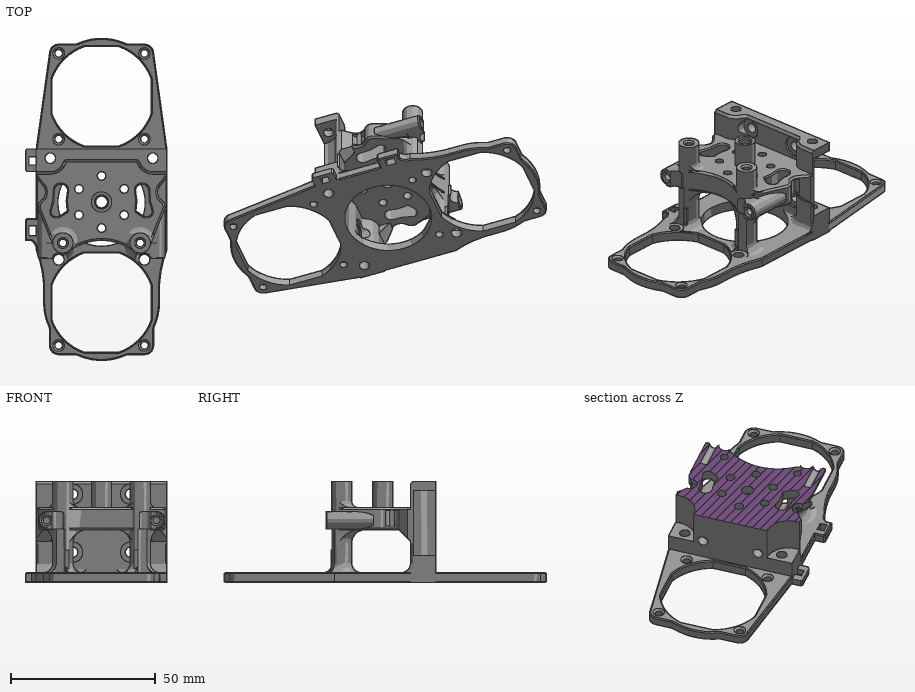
import cadquery as cq
import math

HEIGHT = 35.0
HALF_WIDTH = 22.6
PLATE_TOP = 3.5
PLATE_CHAMFER = 0.39

FAN_SPACING = 71.3
FAN_TOP_Y = 36.4
FAN_BOTTOM_Y = FAN_TOP_Y - FAN_SPACING
FAN_RIM = 20.0
FRAME_HALF = 18.0
FRAME_CORNER = 3.3
FRAME_BLEND = 2.2
OPENING_RADIUS = 18.2
OPENING_HALF = 17.2
SCREW_OFFSET = 14.8
WAIST_Y = -16.7
WAIST_END = (FAN_RIM, -32.3)
WAIST_MID = (20.5, -24.5)

CENTER_OPENING_Y = -0.3
CENTER_OPENING_RADIUS = 15.0

WALL_BACK = 18.3
WALL_FRONT = 13.7
WALL_CHAMFER = 0.9
LUG_X, LUG_Y = 17.7, 15.0
LUG_RADIUS = 5.6
LUG_HOLE = 3.6
LUG_BLEND = 0.9
PAD_FRONT = LUG_Y - LUG_RADIUS
RECESS_RADIUS = 7.8
RECESS_AXIS_X = 21.2
RECESS_BOTTOM, RECESS_TOP = 9.4, 31.7
PAD_EDGE_CHAMFER = 0.6
PAD_EDGE_TOP = 13.4
WALL_FILLET = 1.1
BASE_FLARE = 3.2

WALL_SCREW_X = 10.0
WALL_SCREW_LEVELS = (10.5, 30.5)
WALL_SCREW_HOLE, WALL_SCREW_HEAD = 3.6, 7.0
WALL_SCREW_SEAT_Y = 14.5

SHELF_BOTTOM, SHELF_TOP = 18.2, 26.0
SHELF_THICKNESS = SHELF_TOP - SHELF_BOTTOM
SHELF_CHAMFER = 0.7
GUSSET = 3.9
GUSSET_INNER_X = 17.3

BOSS_RADIUS = 3.51
BOSS_HOLE, BOSS_HOLE_MOUTH = 4.0, 4.9
POST_X, POST_Y = 13.4, -14.3
POST_HOLE, POST_HOLE_MOUTH = 2.6, 3.8
UPPER_FLARE, LOWER_FLARE = 2.1, 4.5

BOSS_Y = -0.1
SHELF_HOLE, SHELF_HOLE_CIRCLE = 2.9, 9.0
SLOT_REAR_ROUND, SLOT_FRONT_ROUND, SLOT_CHAMFER = 2.1, 1.7, 0.5

TUBE_X, TUBE_Z, TUBE_RADIUS = 18.9, 21.5, 3.0
TUBE_FRONT, TUBE_BACK = -19.7, -3.2
WEB_INNER_X, WEB_ROUND = 13.0, 1.0
TUBE_END_CHAMFER = 0.5
TUBE_HOLE, TUBE_HOLE_MOUTH, TUBE_HOLE_DEPTH = 2.5, 3.8, 11.1

FAN_HOLE, FAN_HOLE_MOUTH = 2.6, 4.0
INNER_FAN_HOLE = 3.7
DRIVER_Y = FAN_BOTTOM_Y + SCREW_OFFSET
DRIVER_RADIUS = 3.2
WEB_NOTCH_RADIUS = 2.3

TAB_OUTER_X = -26.3
TAB_CORNER = 0.6
UPPER_TAB_Y = (10.4, WALL_BACK)
UPPER_TAB_TOP = 2.3
LOWER_TAB_Y = (-13.5, -5.8)
TAB_SLOT_X = (-25.1, -22.6)
TAB_SLOTS_Y = ((12.7, 15.5), (-11.7, -8.4))

TIE_X, TIE_Y = 19.9, 3.1
TIE_INNER, TIE_OUTER = 1.0, 2.3
TIE_BOTTOM, TIE_TOP = 19.5, 24.8

KEY_X, KEY_Y, KEY_Z = (11.3, 12.6), (-17.9, -14.5), (PLATE_TOP, 11.3)


def box(x_range, y_range, z_range):
    """Box between the given limits."""
    size = [high - low for low, high in (x_range, y_range, z_range)]
    corner = (x_range[0], y_range[0], z_range[0])
    return cq.Workplane("XY").box(*size, centered=False).translate(corner)


def cylinder(x, y, radius, bottom, top):
    """Vertical cylinder."""
    return cq.Workplane("XY", origin=(x, y, bottom)).circle(radius).extrude(top - bottom)


def flared_hole(x, y, top, hole, mouth):
    """Vertical through hole from top down to the plate underside, with a 45 degree mouth."""
    depth = (mouth - hole) / 2
    bevel = (
        cq.Workplane("XY", origin=(x, y, top)).circle(mouth / 2)
        .workplane(offset=-depth).circle(hole / 2).loft()
    )
    return cylinder(x, y, hole / 2, 0, top).union(bevel)


def flare(x, y, radius, fillet, level, direction):
    """Concave foot ring round a vertical cylinder; direction +1 rises from level, -1 hangs."""
    end = level + direction * fillet
    bend = fillet * (1 - math.sqrt(0.5))
    profile = (
        cq.Workplane("XZ")
        .moveTo(0, level)
        .lineTo(radius + fillet, level)
        .threePointArc((radius + bend, level + direction * bend), (radius, end))
        .lineTo(0, end)
        .close()
    )
    return profile.revolve(360, (0, 0, 0), (0, 1, 0)).translate((x, y, 0))


def both_sides(shape):
    """The shape together with its mirror image across X = 0."""
    return shape.union(shape.mirror("YZ"))


def rim_x(distance):
    """Half chord of the fan rim at a distance from its centre."""
    return math.sqrt(FAN_RIM**2 - distance**2)


def plate_half():
    """Right half of the plate outline, extruded."""
    straight = FRAME_HALF - FRAME_CORNER
    bend = straight + FRAME_CORNER * math.sqrt(0.5)
    rim_end = rim_x(FRAME_HALF)
    far, near = FAN_TOP_Y, FAN_BOTTOM_Y
    return (
        cq.Workplane("XY")
        .moveTo(0, far + FAN_RIM)
        .threePointArc((rim_end / 2, far + rim_x(rim_end / 2)), (rim_end, far + FRAME_HALF))
        .lineTo(straight, far + FRAME_HALF)
        .threePointArc((bend, far + bend), (FRAME_HALF, far + straight))
        .lineTo(HALF_WIDTH, WALL_BACK)
        .lineTo(HALF_WIDTH, WAIST_Y)
        .threePointArc(WAIST_MID, WAIST_END)
        .lineTo(FAN_RIM, near)
        .threePointArc((rim_x(rim_end / 2), near - rim_end / 2), (FRAME_HALF, near - rim_end))
        .lineTo(FRAME_HALF, near - straight)
        .threePointArc((bend, near - bend), (straight, near - FRAME_HALF))
        .lineTo(rim_end, near - FRAME_HALF)
        .threePointArc((rim_end / 2, near - rim_x(rim_end / 2)), (0, near - FAN_RIM))
        .close()
        .extrude(PLATE_TOP)
    )


def lower_tab():
    """Cable tab with a swept root."""
    low, high = LOWER_TAB_Y
    root = (-HALF_WIDTH, low - 2.7)
    return (
        cq.Workplane("XY")
        .moveTo(-HALF_WIDTH + 1.1, high)
        .lineTo(TAB_OUTER_X + TAB_CORNER, high)
        .lineTo(TAB_OUTER_X, high - TAB_CORNER)
        .lineTo(TAB_OUTER_X, low)
        .lineTo(-24.3, low)
        .threePointArc((-23.3, low - 0.9), root)
        .lineTo(-HALF_WIDTH + 1.1, root[1])
        .close()
        .extrude(PLATE_TOP)
    )


def base_plate():
    """Plate with blended fan frames, bevelled rims and two cable tabs."""
    plate = both_sides(plate_half()).clean()
    rim_end = rim_x(FRAME_HALF)
    notches = [(x, y) for x in (-rim_end, rim_end)
               for y in (FAN_TOP_Y + FRAME_HALF, FAN_BOTTOM_Y - FRAME_HALF)]
    notches += [(x, FAN_BOTTOM_Y - rim_end) for x in (-FRAME_HALF, FRAME_HALF)]
    for x, y in notches:
        selector = cq.selectors.BoxSelector((x - 0.2, y - 0.2, 0), (x + 0.2, y + 0.2, PLATE_TOP))
        plate = plate.edges(selector).edges("|Z").fillet(FRAME_BLEND)
    plate = plate.union(lower_tab())
    plate = plate.faces(">Z or <Z").edges().chamfer(PLATE_CHAMFER)
    upper_tab = box((TAB_OUTER_X, -HALF_WIDTH + 1.1), UPPER_TAB_Y, (0, UPPER_TAB_TOP))
    upper_tab = upper_tab.edges("<X and |Z").chamfer(TAB_CORNER)
    return plate.union(upper_tab)


def fan_opening(y):
    """Circle with four flats, widened at the upper edge."""
    def truncated(grow, bottom, top):
        half = OPENING_HALF + grow
        disc = cylinder(0, y, OPENING_RADIUS + grow, bottom, top)
        return disc.intersect(box((-half, half), (y - half, y + half), (bottom, top)))

    opening = truncated(0, 0, HEIGHT)
    bevel = truncated(PLATE_CHAMFER, PLATE_TOP - PLATE_CHAMFER, PLATE_TOP)
    return opening.union(bevel.faces("<Z").edges().chamfer(PLATE_CHAMFER * 0.99))


def wall():
    """Wall with a screw lug and pad at each end and a bevelled top front rim."""
    body = box((-HALF_WIDTH, HALF_WIDTH), (WALL_FRONT, WALL_BACK), (0, HEIGHT))
    pad = box((LUG_X, HALF_WIDTH), (PAD_FRONT, WALL_BACK), (0, HEIGHT))
    lug = cylinder(LUG_X, LUG_Y, LUG_RADIUS, 0, HEIGHT)
    limit = box((0, HALF_WIDTH), (0, WALL_BACK), (0, HEIGHT))
    body = body.union(both_sides(pad.union(lug.intersect(limit)))).clean()
    meet_x = LUG_X - math.sqrt(LUG_RADIUS**2 - (LUG_Y - WALL_FRONT)**2)
    for x in (-meet_x, meet_x):
        corner = cq.selectors.BoxSelector(
            (x - 0.2, WALL_FRONT - 0.2, 0), (x + 0.2, WALL_FRONT + 0.2, HEIGHT))
        body = body.edges(corner).edges("|Z").fillet(LUG_BLEND)
    front_rim = cq.selectors.BoxSelector(
        (-HALF_WIDTH + 0.1, 0, HEIGHT - 0.1), (HALF_WIDTH - 0.1, WALL_FRONT + 0.3, HEIGHT + 0.1))
    return body.faces(">Z").edges(front_rim).chamfer(WALL_CHAMFER)


def straight_flare(x_range, front, fillet):
    """Concave foot along a straight stretch of the wall."""
    blank = box(x_range, (front - fillet, front), (PLATE_TOP, PLATE_TOP + fillet))
    scoop = (
        cq.Workplane("YZ", origin=(x_range[0], front - fillet, PLATE_TOP + fillet))
        .circle(fillet).extrude(x_range[1] - x_range[0])
    )
    return blank.cut(scoop)


def wall_foot():
    """Fillet of the wall, its lugs and its pads onto the plate."""
    lug_foot = flare(LUG_X, LUG_Y, LUG_RADIUS, BASE_FLARE, PLATE_TOP, 1)
    limit = box((0, LUG_X), (0, WALL_FRONT), (0, HEIGHT))
    side = straight_flare((LUG_X, HALF_WIDTH), PAD_FRONT, BASE_FLARE).union(lug_foot.intersect(limit))
    middle = straight_flare((-LUG_X, LUG_X), WALL_FRONT, WALL_FILLET)
    return middle.union(both_sides(side))


def wall_recess():
    """Side recess that bares the lug screw, open outwards and to the rear."""
    levels = (RECESS_BOTTOM, RECESS_TOP)
    limit = box((0, RECESS_AXIS_X), (0, WALL_BACK), levels)
    rounded = cylinder(RECESS_AXIS_X, WALL_BACK, RECESS_RADIUS, *levels).intersect(limit)
    outer = (RECESS_AXIS_X, HALF_WIDTH)
    return rounded.union(box(outer, (WALL_BACK - RECESS_RADIUS, WALL_BACK), levels))


def pad_edge_bevel():
    """Vertical bevel on the outer front edge of the lower pad."""
    return (
        cq.Workplane("XY", origin=(HALF_WIDTH, PAD_FRONT, PLATE_TOP + BASE_FLARE))
        .polyline([(0, 0), (-PAD_EDGE_CHAMFER, 0), (0, PAD_EDGE_CHAMFER)]).close()
        .extrude(PAD_EDGE_TOP - PLATE_TOP - BASE_FLARE)
    )


def wall_screw(x, z):
    """Screw hole through the wall, counterbored from the front."""
    hole = cq.Workplane("XZ", origin=(x, WALL_BACK, z)).circle(WALL_SCREW_HOLE / 2)
    head = cq.Workplane("XZ", origin=(x, WALL_SCREW_SEAT_Y, z)).circle(WALL_SCREW_HEAD / 2)
    length = WALL_BACK - PAD_FRONT
    return hole.extrude(length).union(head.extrude(WALL_SCREW_SEAT_Y - PAD_FRONT))


def shelf_outline(bottom, top):
    """Shelf plan shape between two levels."""
    tangent_x, tangent_y = POST_X + 3.2, -15.6
    arch_x, arch_y, arch_mid_y = 11.3, -17.0, -13.4
    half = (
        cq.Workplane("XY", origin=(0, 0, bottom))
        .moveTo(0, WALL_FRONT)
        .lineTo(HALF_WIDTH, WALL_FRONT)
        .lineTo(HALF_WIDTH, 8.5)
        .lineTo(20.3, 5.6)
        .threePointArc((19.4, 3.1), (20.7, 0.6))
        .tangentArcPoint((21.7, -2.7), relative=False)
        .lineTo(tangent_x, tangent_y)
        .lineTo(arch_x, arch_y)
        .threePointArc((arch_x / 2, arch_mid_y - 0.9), (0, arch_mid_y))
        .close()
        .extrude(top - bottom)
    )
    return both_sides(half).clean()


def shelf():
    """Bevelled shelf plate with post flares and gussets trimmed to its outline."""
    plate = shelf_outline(SHELF_BOTTOM, SHELF_TOP)
    plate = plate.faces(">Z or <Z").edges("not(>Y)").chamfer(SHELF_CHAMFER)
    flares = flare(POST_X, POST_Y, BOSS_RADIUS, UPPER_FLARE, SHELF_TOP, 1).union(
        flare(POST_X, POST_Y, BOSS_RADIUS, LOWER_FLARE, SHELF_BOTTOM, -1))
    gusset = (
        cq.Workplane("YZ", origin=(GUSSET_INNER_X, PAD_FRONT, SHELF_BOTTOM))
        .polyline([(0, SHELF_THICKNESS / 2), (0, -GUSSET), (-GUSSET, 0), (-GUSSET, SHELF_THICKNESS / 2)])
        .close().extrude(HALF_WIDTH - GUSSET_INNER_X)
    )
    extras = both_sides(flares.union(gusset)).intersect(shelf_outline(0, HEIGHT))
    return plate.union(extras)


def shelf_slot():
    """Bent slot beside the post, bevelled at the top."""
    corners = [(16.2, 6.0), (11.5, 6.0), (12.3, 0.3), (11.9, -3.2), (14.7, -5.1), (18.0, -5.1), (16.5, 0.0)]
    slot = (
        cq.Workplane("XY", origin=(0, 0, SHELF_BOTTOM)).polyline(corners).close()
        .extrude(SHELF_THICKNESS)
    )
    slot = slot.edges("|Z").edges(">Y").fillet(SLOT_REAR_ROUND)
    slot = slot.edges("|Z").edges("<Y").fillet(SLOT_FRONT_ROUND)
    bevel = (
        slot.faces(">Z").wires().toPending().offset2D(SLOT_CHAMFER)
        .extrude(-SLOT_CHAMFER, taper=45, combine=False)
    )
    return slot.union(bevel)


def tie_tunnel():
    """Ring-shaped tunnel for a cable tie."""
    ring = cylinder(TIE_X, TIE_Y, TIE_OUTER, TIE_BOTTOM, TIE_TOP)
    return ring.cut(cylinder(TIE_X, TIE_Y, TIE_INNER, TIE_BOTTOM, TIE_TOP))


def side_tube():
    """Half-round tube with a flat web reaching the post."""
    levels = (TUBE_Z - TUBE_RADIUS, TUBE_Z + TUBE_RADIUS)
    tube = (
        cq.Workplane("XZ", origin=(TUBE_X, TUBE_BACK, TUBE_Z))
        .circle(TUBE_RADIUS).extrude(TUBE_BACK - TUBE_FRONT)
    )
    tube = tube.faces("<Y").chamfer(TUBE_END_CHAMFER)
    web = box((WEB_INNER_X, TUBE_X), (TUBE_FRONT, POST_Y), levels)
    return tube.union(web.edges("<X and |Y").fillet(WEB_ROUND))


def tube_hole():
    """Blind hole in the front end of a tube, with a bevelled mouth."""
    front = cq.Workplane("XZ", origin=(TUBE_X, TUBE_FRONT, TUBE_Z))
    bevel = (TUBE_HOLE_MOUTH - TUBE_HOLE) / 2
    mouth = front.circle(TUBE_HOLE_MOUTH / 2).workplane(offset=-bevel).circle(TUBE_HOLE / 2).loft()
    return front.circle(TUBE_HOLE / 2).extrude(-TUBE_HOLE_DEPTH).union(mouth)


def driver_clearance():
    """Round clearance above an inner fan screw, notching post and tube web."""
    web_bottom, web_top = TUBE_Z - TUBE_RADIUS, TUBE_Z + TUBE_RADIUS
    wide = cylinder(SCREW_OFFSET, DRIVER_Y, DRIVER_RADIUS, PLATE_TOP, web_bottom)
    return wide.union(cylinder(SCREW_OFFSET, DRIVER_Y, WEB_NOTCH_RADIUS, web_bottom, web_top))


lower = base_plate().union(wall()).union(wall_foot())
lower = lower.union(both_sides(flare(POST_X, POST_Y, BOSS_RADIUS, BASE_FLARE, PLATE_TOP, 1)))
lower = lower.cut(both_sides(pad_edge_bevel()))
lower = lower.cut(cylinder(0, CENTER_OPENING_Y, CENTER_OPENING_RADIUS, 0, SHELF_BOTTOM))

upper = shelf().union(cylinder(0, BOSS_Y, BOSS_RADIUS, SHELF_BOTTOM, HEIGHT))
upper = upper.union(both_sides(side_tube()))
upper = upper.union(both_sides(cylinder(POST_X, POST_Y, BOSS_RADIUS, 0, HEIGHT)))

result = lower.union(upper).cut(both_sides(driver_clearance()))
result = result.cut(both_sides(wall_recess()))
result = result.union(both_sides(box(KEY_X, KEY_Y, KEY_Z)))
result = result.cut(fan_opening(FAN_TOP_Y)).cut(fan_opening(FAN_BOTTOM_Y))

for side in (-1, 1):
    for level in WALL_SCREW_LEVELS:
        result = result.cut(wall_screw(side * WALL_SCREW_X, level))
    result = result.cut(cylinder(side * LUG_X, LUG_Y, LUG_HOLE / 2, 0, HEIGHT))
    result = result.cut(flared_hole(side * POST_X, POST_Y, HEIGHT, POST_HOLE, POST_HOLE_MOUTH))
    for row in (FAN_TOP_Y + SCREW_OFFSET, FAN_TOP_Y - SCREW_OFFSET, FAN_BOTTOM_Y - SCREW_OFFSET):
        result = result.cut(flared_hole(side * SCREW_OFFSET, row, PLATE_TOP, FAN_HOLE, FAN_HOLE_MOUTH))
    result = result.cut(cylinder(side * SCREW_OFFSET, DRIVER_Y, INNER_FAN_HOLE / 2, 0, PLATE_TOP))

for step in range(6):
    angle = math.radians(30 + 60 * step)
    x = SHELF_HOLE_CIRCLE * math.cos(angle)
    y = BOSS_Y + SHELF_HOLE_CIRCLE * math.sin(angle)
    result = result.cut(cylinder(x, y, SHELF_HOLE / 2, SHELF_BOTTOM, SHELF_TOP))

result = result.cut(flared_hole(0, BOSS_Y, HEIGHT, BOSS_HOLE, BOSS_HOLE_MOUTH))
result = result.cut(both_sides(shelf_slot())).cut(both_sides(tie_tunnel()))
result = result.cut(both_sides(tube_hole()))
for y_range in TAB_SLOTS_Y:
    result = result.cut(box(TAB_SLOT_X, y_range, (0, PLATE_TOP)))